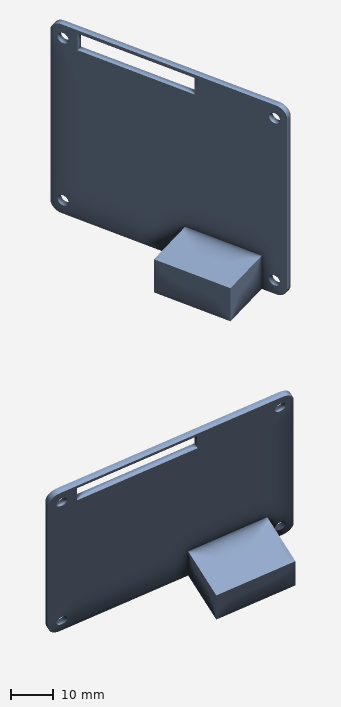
import cadquery as cq

board_width = 65.0
board_height = 57.0
board_thickness = 1.6
corner_radius = 3.0

hole_diameter = 3.0
hole_pitch_x = 58.0
hole_pitch_z = 49.0

slot_width = 32.0
slot_height = 5.0
slot_left_offset = 7.5
slot_top_offset = 1.0

block_width = 21.0
block_depth = 14.2
block_height = 10.0
block_left_offset = 37.0


def make_board():
    """Rounded plate centred on X and Z, with its front face at Y = 0."""
    plate = cq.Workplane("XY").box(
        board_width, board_thickness, board_height, centered=(True, False, True)
    )
    return plate.edges("|Y").fillet(corner_radius)


def cut_mounting_holes(board):
    return (
        board.faces("<Y")
        .workplane(origin=(0, 0, 0))
        .rect(hole_pitch_x, hole_pitch_z, forConstruction=True)
        .vertices()
        .hole(hole_diameter)
    )


def make_slot():
    slot_left = -board_width / 2 + slot_left_offset
    slot_bottom = board_height / 2 - slot_top_offset - slot_height
    return (
        cq.Workplane("XY")
        .box(slot_width, board_thickness, slot_height, centered=False)
        .translate((slot_left, 0, slot_bottom))
    )


def make_connector_block():
    block_left = -board_width / 2 + block_left_offset
    return (
        cq.Workplane("XY")
        .box(block_width, block_depth, block_height, centered=False)
        .translate((block_left, -block_depth, -board_height / 2))
    )


board = cut_mounting_holes(make_board()).cut(make_slot())
result = board.union(make_connector_block())